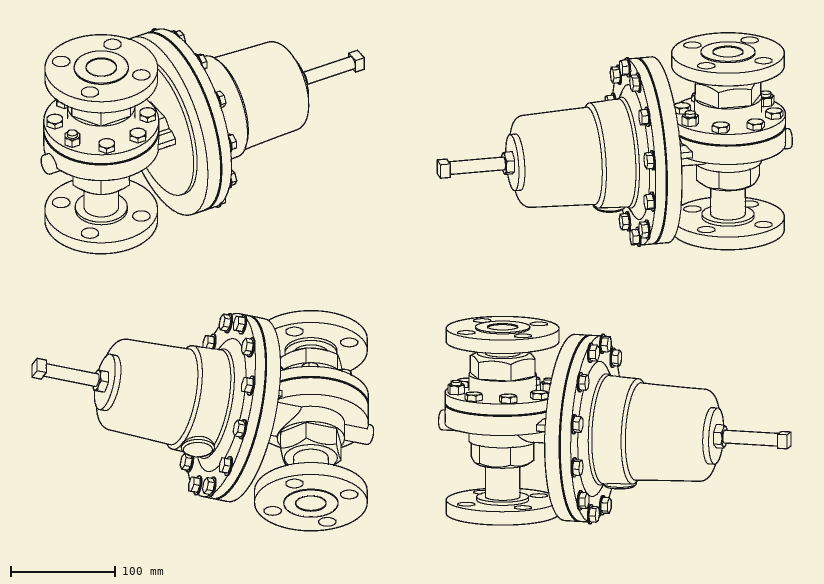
import cadquery as cq
import math


flange_radius = 54.2
flange_top = 93.5
flange_thickness = 13.2
lower_flange_bottom = -88.2
raised_face_radius = 26.0
raised_face_top = 94.8
raised_face_bottom = -89.3
face_recess_radius = 14.5
face_recess_depth = 1.0
hub_radius = 25.0
hub_height = 3.0
neck_radius = 16.5
flange_hole_diameter = 16.5
flange_hole_circle_radius = 40.0
flange_hole_count = 4
flange_hole_start = 45

upper_hex_flats = 56.3
upper_hex_top = 68.8
upper_hex_top_radius = 24.3
lower_hex_flats = 54.2
lower_hex_bottom = -38.5
lower_hex_bottom_radius = 25.5
hex_chamfer_height = 4.0
collar_radius = 32.3
upper_collar_top = 48.3
lower_collar_bottom = -17.0
collar_fillet = 2.5
disc_radius = 55.2
disc_top = 31.0
disc_joint = 18.8
joint_width = 1.0
joint_depth = 0.7

body_bolt_circle_radius = 44.8
body_bolt_count = 8
body_nut_indices = (3, 7)
body_head_flats = 15.0
body_head_height = 6.0
body_nut_flats = 14.2
body_nut_height = 8.5
body_stud_radius = 5.0
body_stud_height = 11.5
head_edge_drop = 1.0
plug_radius = 9.7
plug_end = -61.8
plug_rounding = 2.5

yoke_radius = 25.5
yoke_top = 21.2
yoke_depth = 16.0
yoke_end = 64.3
plate_half_width = 34.0
plate_top_half_width = 27.0
plate_bottom = 0.0
plate_side_bottom = 2.0
plate_side_top = 8.5
plate_top = 13.0

dish_radius = 68.5
dish_rim = 63.2
dish_apex = 62.0
casing_radius = 89.5
casing_front = 67.0
casing_joint = 82.0
casing_back = 93.0
cover_radius = 65.0
bonnet_foot = 100.5
bonnet_foot_radius = 53.5
bonnet_base = 103.5
bonnet_base_radius = 52.0
shoulder_base = 132.5
shoulder_base_radius = 50.7
shoulder_top = 135.5
shoulder_top_radius = 47.0
crown_base = 197.5
crown_base_radius = 44.5
crown_top = 207.0
crown_top_radius = 35.8
cap_top = 213.0
cap_radius = 27.0

casing_bolt_circle_radius = 82.0
casing_bolt_count = 12
casing_head_flats = 13.5
casing_head_top = 100.5
washer_radius = 9.5
washer_thickness = 1.0
vent_radius = 16.0
vent_center_y = 116.7
vent_bottom = -54.5
vent_chamfer = 2.0
lock_nut_flats = 19.8
lock_nut_top = 221.2
screw_radius = 6.3
square_head_side = 14.0
square_head_start = 275.8
square_head_end = 285.5


def corner_diameter(flats):
    """Across-corners size of a hexagon from its across-flats size."""
    return flats / math.cos(math.pi / 6)


def disc_z(radius, bottom, top):
    """Cylinder on the valve axis between two heights."""
    return cq.Workplane("XY").workplane(offset=bottom).circle(radius).extrude(top - bottom)


def disc_y(radius, start, end):
    """Cylinder on the actuator axis between two Y positions."""
    return cq.Workplane("XZ", origin=(0, start, 0)).circle(radius).extrude(start - end)


def hex_prism(flats, height):
    """Upright hexagon on Z = 0 with a corner on the Y axis."""
    prism = cq.Workplane("XY").polygon(6, corner_diameter(flats)).extrude(height)
    return prism.rotate((0, 0, 0), (0, 0, 1), 90)


def chamfered_hex(flats, height, end_radius, edge_drop):
    """Upright hexagon whose top corners are turned down by a cone."""
    corner = corner_diameter(flats) / 2
    cone = (
        cq.Workplane("XZ")
        .polyline([(0, 0), (corner, 0), (corner, height - edge_drop), (end_radius, height), (0, height)])
        .close()
        .revolve(360, (0, 0, 0), (0, 1, 0))
    )
    return hex_prism(flats, height).intersect(cone)


def bolt_head(flats, height):
    """Hexagon head with its corners turned down to the across-flats circle."""
    return chamfered_hex(flats, height, flats / 2, head_edge_drop)


def make_pipe_flange(bottom, face_level, hub_side):
    """Flange with raised face, recess, hub and bolt holes; hub_side is +1 above or -1 below."""
    top = bottom + flange_thickness
    flange = disc_z(flange_radius, bottom, top)
    if hub_side > 0:
        flange = flange.union(disc_z(hub_radius, top, top + hub_height))
        flange = flange.union(disc_z(raised_face_radius, face_level, bottom))
        recess = disc_z(face_recess_radius, face_level, face_level + face_recess_depth)
    else:
        flange = flange.union(disc_z(hub_radius, bottom - hub_height, bottom))
        flange = flange.union(disc_z(raised_face_radius, top, face_level))
        recess = disc_z(face_recess_radius, face_level - face_recess_depth, face_level)
    holes = (
        cq.Workplane("XY")
        .workplane(offset=bottom)
        .polarArray(flange_hole_circle_radius, flange_hole_start, 360, flange_hole_count)
        .circle(flange_hole_diameter / 2)
        .extrude(flange_thickness)
    )
    return flange.cut(recess).cut(holes)


def make_valve_body():
    """Necks, union hexagons, collars and the bolted disc pair."""
    body = disc_z(neck_radius, lower_flange_bottom + flange_thickness, flange_top - flange_thickness)

    upper_height = upper_hex_top - upper_collar_top
    upper_hex = chamfered_hex(upper_hex_flats, upper_height, upper_hex_top_radius, hex_chamfer_height)
    body = body.union(upper_hex.translate((0, 0, upper_collar_top)))

    lower_height = lower_collar_bottom - lower_hex_bottom
    lower_hex = chamfered_hex(lower_hex_flats, lower_height, lower_hex_bottom_radius, hex_chamfer_height)
    lower_hex = lower_hex.rotate((0, 0, 0), (0, 1, 0), 180)
    body = body.union(lower_hex.translate((0, 0, lower_collar_bottom)))

    collars = disc_z(collar_radius, lower_collar_bottom, upper_collar_top)
    discs = disc_z(disc_radius, 0, disc_top).union(collars)
    margin = 0.5
    low_corner = (-margin, -margin, disc_top - margin)
    high_corner = (margin, margin, disc_top + margin)
    foot_level = cq.selectors.BoxSelector(low_corner, high_corner)
    foot = discs.edges(foot_level).edges(cq.selectors.RadiusNthSelector(0))
    discs = foot.fillet(collar_fillet)
    groove = disc_z(disc_radius, disc_joint, disc_joint + joint_width)
    groove = groove.cut(disc_z(disc_radius - joint_depth, disc_joint, disc_joint + joint_width))
    return body.union(discs.cut(groove))


def add_body_bolts(part):
    """Ring of bolt heads on the disc, two of them replaced by nuts on studs."""
    step = 360 / body_bolt_count
    for index in range(body_bolt_count):
        angle = math.radians((index - 0.5) * step)
        x = body_bolt_circle_radius * math.cos(angle)
        y = body_bolt_circle_radius * math.sin(angle)
        if index in body_nut_indices:
            fastener = bolt_head(body_nut_flats, body_nut_height)
            fastener = fastener.union(disc_z(body_stud_radius, 0, body_stud_height))
        else:
            fastener = bolt_head(body_head_flats, body_head_height)
        part = part.union(fastener.translate((x, y, disc_top)))
    return part


def make_front_plug():
    """Rounded plug pointing out of the body toward -Y."""
    return disc_y(plug_radius, plug_end, 0).faces("<Y").edges().fillet(plug_rounding)


def make_yoke():
    """Bar with a flat-topped round upper half and an elliptic lower half, crossed by a bevelled plate."""
    slab = cq.Workplane("XY").box(2 * yoke_radius, yoke_end, yoke_top, centered=(True, False, False))
    upper = disc_y(yoke_radius, 0, yoke_end).intersect(slab)
    lower = cq.Workplane("XZ").ellipse(yoke_radius, yoke_depth).extrude(-yoke_end)
    bar = upper.union(lower)

    right_side = [
        (plate_top_half_width, plate_bottom),
        (plate_half_width, plate_side_bottom),
        (plate_half_width, plate_side_top),
        (plate_top_half_width, plate_top),
    ]
    left_side = [(-x, z) for x, z in reversed(right_side)]
    plate = cq.Workplane("XZ").polyline(right_side + left_side).close().extrude(-yoke_end)
    return bar.union(plate)


def make_actuator():
    """Turned shell of the actuator: dish, casing, bonnet and cap."""
    crown_rise = crown_top - crown_base
    crown_run = crown_base_radius - crown_top_radius
    bulge = math.sin(math.pi / 4)
    crown_mid = (crown_top_radius + crown_run * bulge, crown_base + crown_rise * bulge)
    dish_mid = (dish_radius / 2, dish_apex + (dish_rim - dish_apex) / 4)
    inner_radius = casing_radius - joint_depth
    profile = (
        cq.Workplane("XY")
        .moveTo(0, dish_apex)
        .threePointArc(dish_mid, (dish_radius, dish_rim))
        .lineTo(dish_radius, casing_front)
        .lineTo(casing_radius, casing_front)
        .lineTo(casing_radius, casing_joint - joint_width / 2)
        .lineTo(inner_radius, casing_joint - joint_width / 2)
        .lineTo(inner_radius, casing_joint + joint_width / 2)
        .lineTo(casing_radius, casing_joint + joint_width / 2)
        .lineTo(casing_radius, casing_back)
        .lineTo(cover_radius, casing_back)
        .lineTo(bonnet_foot_radius, bonnet_foot)
        .lineTo(bonnet_base_radius, bonnet_base)
        .lineTo(shoulder_base_radius, shoulder_base)
        .lineTo(shoulder_top_radius, shoulder_top)
        .lineTo(crown_base_radius, crown_base)
        .threePointArc(crown_mid, (crown_top_radius, crown_top))
        .lineTo(cap_radius, crown_top)
        .lineTo(cap_radius, cap_top)
        .lineTo(0, cap_top)
        .close()
    )
    return profile.revolve(360, (0, 0, 0), (0, 1, 0))


def make_vent_boss():
    """Round boss on the underside of the bonnet."""
    base = (0, vent_center_y, vent_bottom)
    boss = cq.Workplane("XY", origin=base).circle(vent_radius).extrude(-vent_bottom)
    return boss.faces("<Z").edges().chamfer(vent_chamfer)


def face_plus_y(part):
    """Turn an upright fastener so that it points along +Y."""
    return part.rotate((0, 0, 0), (1, 0, 0), -90)


def add_casing_bolts(part):
    """Ring of washered bolt heads on the back of the casing, turning with the ring."""
    step = 360 / casing_bolt_count
    seat = casing_head_top - casing_back
    bolt = hex_prism(casing_head_flats, seat).union(disc_z(washer_radius, 0, washer_thickness))
    bolt = face_plus_y(bolt)
    for index in range(casing_bolt_count):
        turned = bolt.rotate((0, 0, 0), (0, 1, 0), -index * step)
        angle = math.radians((index + 0.5) * step)
        x = casing_bolt_circle_radius * math.cos(angle)
        z = casing_bolt_circle_radius * math.sin(angle)
        part = part.union(turned.translate((x, casing_back, z)))
    return part


def make_adjusting_screw():
    """Square-headed screw with its lock nut on the cap."""
    lock_nut = bolt_head(lock_nut_flats, lock_nut_top - cap_top)
    lock_nut = face_plus_y(lock_nut).translate((0, cap_top, 0))
    rod = disc_y(screw_radius, cap_top, square_head_start)
    head = (
        cq.Workplane("XZ", origin=(0, square_head_start, 0))
        .rect(square_head_side, square_head_side)
        .extrude(square_head_start - square_head_end)
    )
    return lock_nut.union(rod).union(head)


valve = make_valve_body()
valve = valve.union(make_pipe_flange(flange_top - flange_thickness, raised_face_top, -1))
valve = valve.union(make_pipe_flange(lower_flange_bottom, raised_face_bottom, 1))
valve = add_body_bolts(valve).union(make_front_plug())

actuator = make_actuator().union(make_vent_boss())
actuator = add_casing_bolts(actuator).union(make_adjusting_screw())

result = valve.union(make_yoke()).union(actuator)